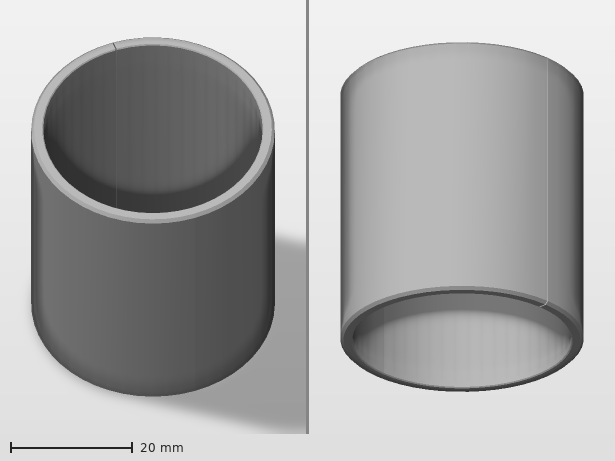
import cadquery as cq

length = 45.0
outer_diameter = 40.0
inner_diameter = 36.0
outer_chamfer = 0.5
inner_chamfer = 0.2
slit_width = 0.2
slit_offset = 0.2

outer_radius = outer_diameter / 2
inner_radius = inner_diameter / 2


def wall_profile():
    """Half section of the sleeve wall, with all four rims chamfered."""
    return (
        cq.Workplane("XZ")
        .moveTo(inner_radius + inner_chamfer, 0)
        .lineTo(outer_radius - outer_chamfer, 0)
        .lineTo(outer_radius, outer_chamfer)
        .lineTo(outer_radius, length - outer_chamfer)
        .lineTo(outer_radius - outer_chamfer, length)
        .lineTo(inner_radius + inner_chamfer, length)
        .lineTo(inner_radius, length - inner_chamfer)
        .lineTo(inner_radius, inner_chamfer)
        .close()
    )


sleeve = wall_profile().revolve(360, (0, 0, 0), (0, 1, 0))

slit = (
    cq.Workplane("XY")
    .center(-outer_radius / 2, slit_offset)
    .rect(outer_radius, slit_width)
    .extrude(length)
)

result = sleeve.cut(slit)